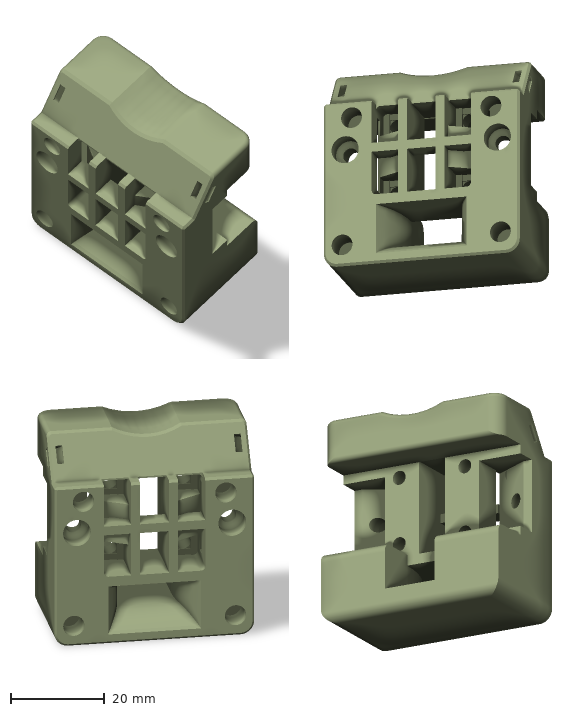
import cadquery as cq
import math

WIDTH = 43.2
DEPTH = 24.0
HEIGHT = 45.4
EDGE_CHAMFER = 0.5

BASE_TOP_Z = 15.53
MIDDLE_BACK_Y = 14.2
HEAD_BOTTOM_Z = 35.85
HEAD_BACK_Y = 23.35
SHELF_Z = 36.4
SHELF_BACK_Y = 3.4
SLOPE_ANGLE = 54.5
BASE_EDGE_RADIUS = 2.0
HEAD_EDGE_RADIUS = 1.0
CORNER_RADIUS = 3.0

SCOOP_HALF_WIDTH = 7.4
SCOOP_DEPTH = 1.6

POCKET_HALF_WIDTH = 10.95
POCKET_BOTTOM_Z = 15.35
POCKET_TOP_Z = 36.05
POCKET_FLOOR_Y = 9.35
POCKET_CORNER_RADIUS = 0.9
SHAFT_HALF_WIDTH = 3.15
BAR_OUTER_X = 5.1
CROSS_BAR_BOTTOM_Z = 24.9
CROSS_BAR_TOP_Z = 26.88
CROSS_BAR_DEPTH = 4.9

RAMP_BOTTOM_Z = 21.15
RAMP_TOP_Z = 30.33
RAMP_INNER_Y = 3.2
CHANNEL_BOTTOM_Z = 17.55
CHANNEL_TOP_Z = 33.82
CHANNEL_START_Y = 4.35
RECESS_FLOOR_Y = POCKET_FLOOR_Y
RAMP_ANGLE = 30.0
BLOCK_HALF_WIDTH = 11.45

TERMINAL_X = 8.0
TERMINAL_ZS = (18.25, 33.15)
TERMINAL_DIAMETER = 3.15
TERMINAL_STEP = 0.3

BLIND_DIAMETER = 4.6
BLIND_DEPTH = 5.85
BLIND_CENTRES = ((15.4, 32.85), (17.5, 4.65))
SCREW_X = 16.8
SCREW_Z = 25.85
SCREW_DIAMETER = 3.25
SCREW_HEAD_DIAMETER = 6.0
SCREW_BORE_DEPTH = 3.65
SCREW_SEAT_HEIGHT = 0.8

TIE_INNER_RADIUS = 1.6
TIE_OUTER_RADIUS = 3.05
TIE_LENGTH = 4.0
TIE_CENTRE_ALONG_SLOPE = 5.95

MOUTH_HALF_WIDTH = 10.05
MOUTH_BOTTOM_Z = 2.15
MOUTH_TOP_Z = 13.1
MOUTH_LIP_DEPTH = 0.65
MOUTH_LIP_Z = 2.7
MOUTH_BACK_HALF_WIDTH = 6.05
MOUTH_FLOOR_Z = 5.15
MOUTH_FLOOR_START_Y = 8.15

slope_rise = HEIGHT - SHELF_Z
slope_run = slope_rise / math.tan(math.radians(SLOPE_ANGLE))
slope_top_y = SHELF_BACK_Y + slope_run
ramp_gradient = math.tan(math.radians(RAMP_ANGLE))


def span_box(x0, x1, y0, y1, z0, z1):
    """Box between two opposite corners."""
    return cq.Workplane("XY").box(x1 - x0, y1 - y0, z1 - z0, centered=False).translate((x0, y0, z0))


def mirrored(solid):
    """The solid together with its mirror image across the middle plane."""
    return solid.union(solid.mirror("YZ"))


def side_profile():
    """Full-width prism of the C-shaped side outline."""
    base_r = BASE_EDGE_RADIUS
    head_r = HEAD_EDGE_RADIUS
    outline = (
        cq.Workplane("YZ")
        .moveTo(0, 0)
        .lineTo(DEPTH - base_r, 0)
        .radiusArc((DEPTH, base_r), -base_r)
        .lineTo(DEPTH, BASE_TOP_Z - base_r)
        .radiusArc((DEPTH - base_r, BASE_TOP_Z), -base_r)
        .lineTo(MIDDLE_BACK_Y, BASE_TOP_Z)
        .lineTo(MIDDLE_BACK_Y, HEAD_BOTTOM_Z)
        .lineTo(HEAD_BACK_Y - head_r, HEAD_BOTTOM_Z)
        .radiusArc((HEAD_BACK_Y, HEAD_BOTTOM_Z + head_r), -head_r)
        .lineTo(HEAD_BACK_Y, HEIGHT)
        .lineTo(slope_top_y, HEIGHT)
        .lineTo(SHELF_BACK_Y, SHELF_Z)
        .lineTo(0, SHELF_Z)
        .close()
    )
    return outline.extrude(WIDTH / 2, both=True)


def rounded_envelope():
    """Block with rounded bottom corners, topped by a head with rounded back corners."""
    half = WIDTH / 2
    lower = span_box(-half, half, 0, DEPTH, 0, HEAD_BOTTOM_Z).edges("|Y and <Z").fillet(CORNER_RADIUS)
    head = span_box(-half, half, 0, HEAD_BACK_Y, HEAD_BOTTOM_Z, HEIGHT)
    return lower.union(head.edges("|Z and >Y").fillet(CORNER_RADIUS))


def scoop():
    """Shallow cylinder along Y that hollows the top."""
    radius = (SCOOP_HALF_WIDTH**2 + SCOOP_DEPTH**2) / (2 * SCOOP_DEPTH)
    axis_z = HEIGHT - SCOOP_DEPTH + radius
    return cq.Workplane("XZ").center(0, axis_z).circle(radius).extrude(-DEPTH)


def outer_body():
    """Outer shape with the rounded top rim, before its front edges are chamfered."""
    body = side_profile().intersect(rounded_envelope()).cut(scoop())
    half = WIDTH / 2
    near = 0.05
    rim_bottom_z = HEIGHT - SCOOP_DEPTH - near
    top_z = HEIGHT + near
    rim = cq.selectors.BoxSelector((-half, HEAD_BACK_Y - CORNER_RADIUS, rim_bottom_z), (half, DEPTH, top_z))
    for x in (-half, half):
        rim = rim + cq.selectors.BoxSelector((x - near, 0, rim_bottom_z), (x + near, DEPTH, top_z))
    return body.edges(rim).fillet(HEAD_EDGE_RADIUS)


def chamfer_front_edges(body):
    """Break the outlines of the front face, the shelf and the slope, but not the inside corner."""
    inside_corner = (0, SHELF_BACK_Y, SHELF_Z)
    slope_middle = (0, (SHELF_BACK_Y + slope_top_y) / 2, (SHELF_Z + HEIGHT) / 2)
    shelf_middle = (0, SHELF_BACK_Y / 2, SHELF_Z)
    front_faces = body.faces("<Y")
    for point in (slope_middle, shelf_middle):
        front_faces = front_faces.add(body.faces(cq.selectors.NearestToPointSelector(point)))
    outline = front_faces.edges()
    corner_edge = outline.edges(cq.selectors.NearestToPointSelector(inside_corner)).val()
    sharp_edges = [edge for edge in outline.vals() if not edge.isSame(corner_edge)]
    return body.newObject(sharp_edges).chamfer(EDGE_CHAMFER)


def terminal_pocket():
    """Rounded pocket behind the grid, opening upward through the shelf."""
    pocket = span_box(
        -POCKET_HALF_WIDTH, POCKET_HALF_WIDTH, 0, POCKET_FLOOR_Y, POCKET_BOTTOM_Z, POCKET_TOP_Z
    ).edges("|Y").fillet(POCKET_CORNER_RADIUS)
    shelf_opening = span_box(
        -POCKET_HALF_WIDTH, POCKET_HALF_WIDTH, 0, SHELF_BACK_Y, POCKET_TOP_Z - POCKET_CORNER_RADIUS, SHELF_Z
    )
    upright = span_box(SHAFT_HALF_WIDTH, BAR_OUTER_X, 0, POCKET_FLOOR_Y, 0, HEIGHT)
    cross_bar = span_box(
        -POCKET_HALF_WIDTH, POCKET_HALF_WIDTH, 0, CROSS_BAR_DEPTH, CROSS_BAR_BOTTOM_Z, CROSS_BAR_TOP_Z
    )
    return pocket.union(shelf_opening).cut(mirrored(upright)).cut(cross_bar).cut(mirrored(ramp()))


def ramp_y(x):
    """Y of the slanted ramp plane at a distance from the middle plane."""
    return RAMP_INNER_Y + (x - BAR_OUTER_X) * ramp_gradient


def ramp():
    """Block behind the cross bar whose front face slants back towards the side."""
    return (
        cq.Workplane("XY", origin=(0, 0, RAMP_BOTTOM_Z))
        .moveTo(BAR_OUTER_X, RAMP_INNER_Y)
        .lineTo(POCKET_HALF_WIDTH, ramp_y(POCKET_HALF_WIDTH))
        .lineTo(POCKET_HALF_WIDTH, POCKET_FLOOR_Y)
        .lineTo(BAR_OUTER_X, POCKET_FLOOR_Y)
        .close()
        .extrude(RAMP_TOP_Z - RAMP_BOTTOM_Z)
    )


def wire_channel():
    """Slanted passage from the pocket wall to the open side recess beside the terminal block."""
    slant_end_x = POCKET_HALF_WIDTH + (RECESS_FLOOR_Y - CHANNEL_START_Y) / ramp_gradient
    return (
        cq.Workplane("XY", origin=(0, 0, CHANNEL_BOTTOM_Z))
        .moveTo(POCKET_HALF_WIDTH, CHANNEL_START_Y)
        .lineTo(slant_end_x, RECESS_FLOOR_Y)
        .lineTo(WIDTH / 2, RECESS_FLOOR_Y)
        .lineTo(WIDTH / 2, MIDDLE_BACK_Y)
        .lineTo(BLOCK_HALF_WIDTH, MIDDLE_BACK_Y)
        .lineTo(BLOCK_HALF_WIDTH, ramp_y(BLOCK_HALF_WIDTH))
        .lineTo(POCKET_HALF_WIDTH, ramp_y(POCKET_HALF_WIDTH))
        .close()
        .extrude(CHANNEL_TOP_Z - CHANNEL_BOTTOM_Z)
    )


def centre_shaft():
    """Shaft that carries the two middle windows through to the back."""
    return span_box(
        -SHAFT_HALF_WIDTH, SHAFT_HALF_WIDTH, POCKET_FLOOR_Y, MIDDLE_BACK_Y, POCKET_BOTTOM_Z, POCKET_TOP_Z
    )


def terminal_holes():
    """Round holes in the pocket floor, each below a full-height groove and a square step."""
    radius = TERMINAL_DIAMETER / 2
    square_y = POCKET_FLOOR_Y + TERMINAL_STEP
    left, right = TERMINAL_X - radius, TERMINAL_X + radius
    lower = span_box(left, right, POCKET_FLOOR_Y, square_y, POCKET_BOTTOM_Z, RAMP_BOTTOM_Z)
    upper = span_box(left, right, POCKET_FLOOR_Y, square_y, RAMP_TOP_Z, POCKET_TOP_Z)
    holes = lower.union(upper)
    for z in TERMINAL_ZS:
        holes = holes.union(
            span_box(left, right, square_y, square_y + TERMINAL_STEP, z - radius, z + radius)
        )
        holes = holes.union(front_cylinder(TERMINAL_X, z, TERMINAL_DIAMETER, MIDDLE_BACK_Y))
    return holes


def front_cylinder(x, z, diameter, depth):
    """Round hole going straight back from the front face."""
    return cq.Workplane("XZ").center(x, z).circle(diameter / 2).extrude(-depth)


def screw_hole():
    """Through hole below a deep head bore with a shallow conical seat."""
    seat = cq.Solid.makeCone(
        SCREW_HEAD_DIAMETER / 2,
        SCREW_DIAMETER / 2,
        SCREW_SEAT_HEIGHT,
        cq.Vector(SCREW_X, SCREW_BORE_DEPTH, SCREW_Z),
        cq.Vector(0, 1, 0),
    )
    through = front_cylinder(SCREW_X, SCREW_Z, SCREW_DIAMETER, MIDDLE_BACK_Y)
    bore = front_cylinder(SCREW_X, SCREW_Z, SCREW_HEAD_DIAMETER, SCREW_BORE_DEPTH)
    return through.union(bore).union(cq.Workplane(seat))


def tie_channel():
    """Ring around the edge line between the slope and the side."""
    angle = math.radians(SLOPE_ANGLE)
    along = cq.Vector(0, math.cos(angle), math.sin(angle))
    start = cq.Vector(WIDTH / 2, SHELF_BACK_Y, SHELF_Z) + along * (TIE_CENTRE_ALONG_SLOPE - TIE_LENGTH / 2)
    plane = cq.Plane(origin=start, xDir=(1, 0, 0), normal=along)
    return cq.Workplane(plane).circle(TIE_OUTER_RADIUS).circle(TIE_INNER_RADIUS).extrude(TIE_LENGTH)


def bell_radius(length, step):
    """Radius of an arc that shifts sideways by step over a length and ends parallel to it."""
    return (length**2 + step**2) / (2 * step)


def cable_mouth():
    """Bell-shaped opening that narrows towards the back, open upward behind the middle wall."""
    side_radius = bell_radius(MIDDLE_BACK_Y, MOUTH_HALF_WIDTH - MOUTH_BACK_HALF_WIDTH)
    plan = (
        cq.Workplane("XY")
        .moveTo(0, 0)
        .lineTo(MOUTH_HALF_WIDTH, 0)
        .radiusArc((MOUTH_BACK_HALF_WIDTH, MIDDLE_BACK_Y), side_radius)
        .lineTo(MOUTH_BACK_HALF_WIDTH, DEPTH)
        .lineTo(0, DEPTH)
        .close()
        .extrude(BASE_TOP_Z)
    )
    floor_radius = bell_radius(MOUTH_FLOOR_START_Y - MOUTH_LIP_DEPTH, MOUTH_FLOOR_Z - MOUTH_LIP_Z)
    elevation = (
        cq.Workplane("YZ")
        .moveTo(0, MOUTH_BOTTOM_Z)
        .lineTo(MOUTH_LIP_DEPTH, MOUTH_LIP_Z)
        .radiusArc((MOUTH_FLOOR_START_Y, MOUTH_FLOOR_Z), floor_radius)
        .lineTo(DEPTH, MOUTH_FLOOR_Z)
        .lineTo(DEPTH, BASE_TOP_Z)
        .lineTo(MIDDLE_BACK_Y, BASE_TOP_Z)
        .lineTo(MIDDLE_BACK_Y, MOUTH_TOP_Z)
        .lineTo(0, MOUTH_TOP_Z)
        .close()
        .extrude(MOUTH_HALF_WIDTH)
    )
    return mirrored(plan.intersect(elevation))


body = chamfer_front_edges(outer_body())
body = body.cut(terminal_pocket()).cut(centre_shaft()).cut(cable_mouth())
for cutter in (wire_channel(), terminal_holes(), screw_hole(), tie_channel()):
    body = body.cut(mirrored(cutter))
for x, z in BLIND_CENTRES:
    body = body.cut(mirrored(front_cylinder(x, z, BLIND_DIAMETER, BLIND_DEPTH)))
result = body